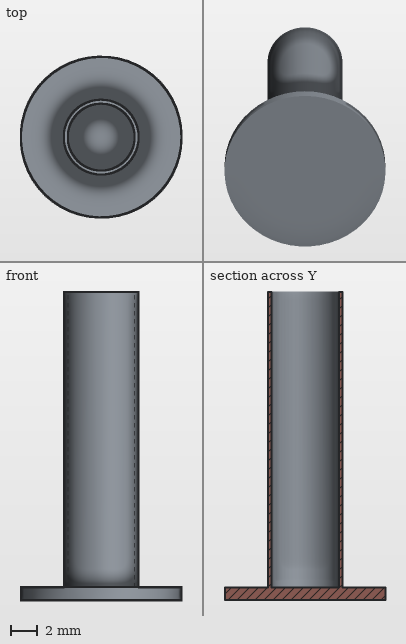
import cadquery as cq

total_height = 23.0
flange_diameter = 12.0
flange_thickness = 1.0
tube_outer_diameter = 5.6
bore_diameter = 5.0

tube_length = total_height - flange_thickness

flange = cq.Workplane("XY").circle(flange_diameter / 2).extrude(flange_thickness)

tube = (
    cq.Workplane("XY", origin=(0, 0, flange_thickness))
    .circle(tube_outer_diameter / 2)
    .circle(bore_diameter / 2)
    .extrude(tube_length)
)

result = flange.union(tube)